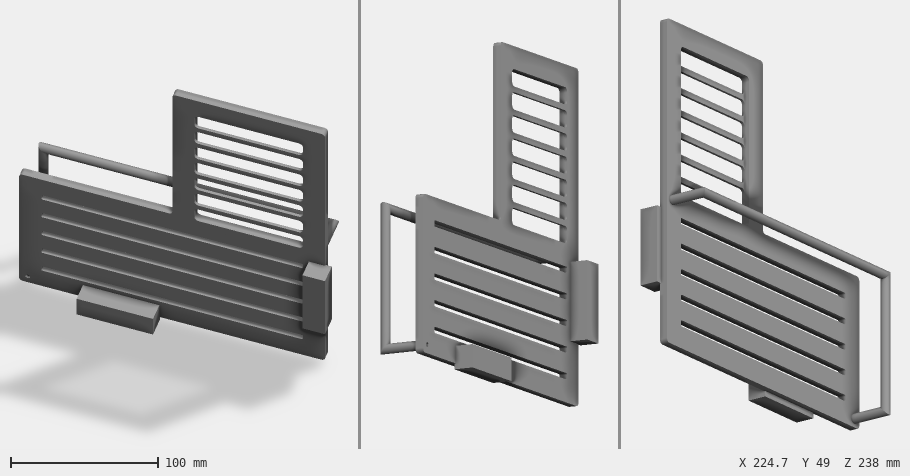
import cadquery as cq


plate_width = 220.2
plate_height = 234.0
plate_thickness = 6.0
arm_width = 110.0
base_height = 110.0
corner_radius = 2.9
inner_corner_radius = 2.4

margin = 16.0
window_count = 7
window_gap = 4.0
window_corner_radius = 3.0
window_bar_thickness = 2.1
slot_count = 5
slot_gap = 14.0
slot_corner_radius = 1.0

rod_diameter = 7.0
rod_inset = 2.5
rod_reach = 30.0

block_length = 55.0
block_height = 16.2
block_depth = 14.0
block_overlap = 1.0
bottom_block_left = 46.0
bottom_block_overhang = 4.0
right_block_top = 98.3
right_block_overhang = 4.5

insert_end_margin = 3.3
insert_height = 3.8
insert_depth = 2.4
button_height = 7.5
button_radius_long = 6.0
button_radius_short = 4.0
button_rim = 1.5

screw_head_diameter = 9.5
screw_head_depth = 2.9
socket_corner_diameter = 3.8
socket_depth = 2.0

arm_left = plate_width - arm_width
plate_front = -plate_thickness
rod_center_inset = rod_inset + rod_diameter / 2


def box(x, y, z, x_size, y_size, z_size):
    """Box given by its lowest corner and its sizes."""
    return cq.Workplane("XY").box(x_size, y_size, z_size, centered=False).translate((x, y, z))


def front_plane(y, x=0, z=0):
    """Workplane facing -Y, with local X along X and local Y along Z."""
    return cq.Workplane("XZ", origin=(x, y, z))


def window_row(left, bottom, top, count, gap, radius):
    """Equal windows stacked between two heights, running to the right-hand margin."""
    width = plate_width - margin - left
    height = (top - bottom - (count - 1) * gap) / count
    centers = [(left + width / 2, bottom + height / 2 + i * (height + gap)) for i in range(count)]
    windows = front_plane(0).pushPoints(centers).rect(width, height).extrude(plate_thickness)
    return windows.edges("|Y").fillet(radius)


def make_plate():
    base = box(0, plate_front, 0, plate_width, plate_thickness, base_height)
    arm = box(arm_left, plate_front, 0, arm_width, plate_thickness, plate_height)
    plate = base.union(arm)
    inner_corner = cq.selectors.NearestToPointSelector((arm_left, plate_front / 2, base_height))
    plate = plate.edges(inner_corner).fillet(inner_corner_radius)
    outer_corners = [
        (0, 0),
        (plate_width, 0),
        (plate_width, plate_height),
        (arm_left, plate_height),
        (0, base_height),
    ]
    for x, z in outer_corners:
        corner = cq.selectors.NearestToPointSelector((x, plate_front / 2, z))
        plate = plate.edges(corner).fillet(corner_radius)
    arm_window = (arm_left + margin, base_height, plate_height - margin)
    windows = window_row(*arm_window, window_count, window_gap, window_corner_radius)
    bar_recess = window_row(*arm_window, 1, 0, window_corner_radius).translate((0, window_bar_thickness, 0))
    slots = window_row(margin, margin, base_height - margin, slot_count, slot_gap, slot_corner_radius)
    return plate.cut(windows).cut(bar_recess).cut(slots)


def make_rod():
    """Rod from the lower left corner: back, up, across to the right and forward again, with mitred bends."""
    left = rod_center_inset
    right = plate_width - rod_center_inset
    low = rod_center_inset
    high = base_height - rod_center_inset
    back = rod_reach - rod_diameter / 2
    path = cq.Workplane("XY").polyline(
        [(left, 0, low), (left, back, low), (left, back, high), (right, back, high), (right, 0, high)]
    )
    return front_plane(0, left, low).circle(rod_diameter / 2).sweep(path, transition="right")


def make_block():
    """Block lying along X, with its outer edge on Z = 0, its middle at X = 0 and its front on Y = 0.

    The insert is a strip with an elliptical hump and a button in it. Both are flush with the
    block's front, and their joints stay visible as edges.
    """
    block = box(-block_length / 2, 0, 0, block_length, block_depth, block_height)
    strip_length = block_length - 2 * insert_end_margin
    strip = box(-strip_length / 2, 0, 0, strip_length, insert_depth, insert_height)
    hump_half_width = button_radius_long + button_rim
    hump_post = box(-hump_half_width, 0, 0, 2 * hump_half_width, insert_depth, button_height)
    hump = front_plane(insert_depth, 0, button_height)
    hump = hump.ellipse(hump_half_width, button_radius_short + button_rim).extrude(insert_depth)
    button = front_plane(insert_depth, 0, button_height)
    button = button.ellipse(button_radius_long, button_radius_short).extrude(insert_depth)
    insert = strip.union(hump_post).union(hump)
    body = block.cut(insert)
    return body.union(insert.cut(button), clean=False).union(button, clean=False)


def make_bottom_block():
    front = plate_front + block_overlap - block_depth
    return make_block().translate((bottom_block_left + block_length / 2, front, -bottom_block_overhang))


def make_right_block():
    """The same block turned upright, with its outer edge to the right."""
    front = plate_front + block_overlap - block_depth
    upright = make_block().rotate((0, 0, 0), (0, 1, 0), -90)
    return upright.translate((plate_width + right_block_overhang, front, right_block_top - block_length / 2))


def make_screw_head():
    head_seat = front_plane(plate_front + screw_head_depth, rod_center_inset, rod_center_inset)
    return head_seat.circle(screw_head_diameter / 2).extrude(screw_head_depth)


def make_socket():
    """Hexagonal key socket with two upright sides."""
    floor = front_plane(plate_front + socket_depth, rod_center_inset, rod_center_inset)
    floor = floor.transformed(rotate=(0, 0, 30))
    return floor.polygon(6, socket_corner_diameter).extrude(socket_depth)


screw_head = make_screw_head()
screw_with_socket = screw_head.cut(make_socket())
result = make_plate().union(make_rod()).cut(screw_head)
for piece in (screw_with_socket, make_bottom_block(), make_right_block()):
    result = result.union(piece, clean=False)